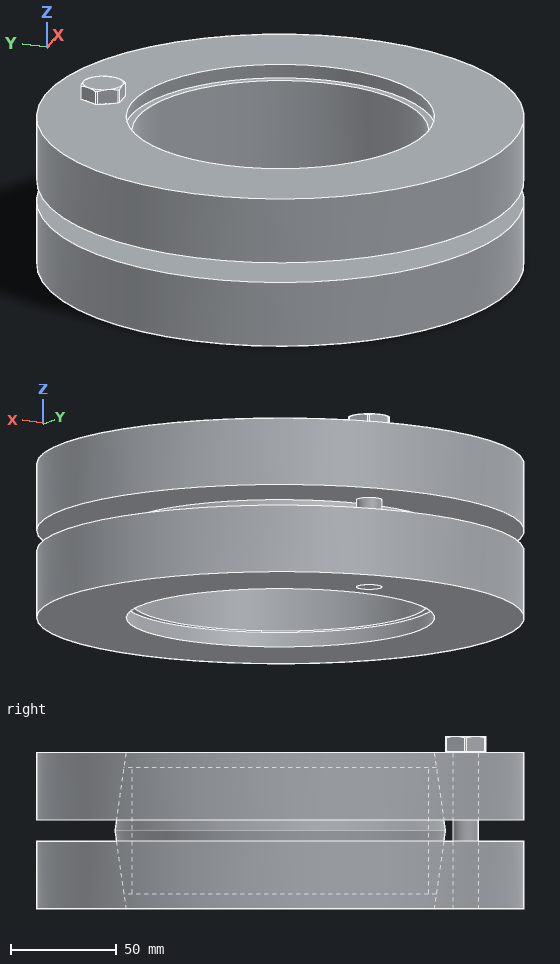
import cadquery as cq
import math

flange_diameter = 230.0
flange_thickness = 32.0
flange_gap = 10.0
stack_height = 2 * flange_thickness + flange_gap
mid_height = stack_height / 2

seat_mid_radius = 78.0
seat_outer_radius = 72.7
seat_slope = (seat_mid_radius - seat_outer_radius) / mid_height

ring_bore_diameter = 140.0
ring_end_recess = 7.1

bolt_offset_y = 87.5
shank_diameter = 12.0
head_across_flats = 19.0
head_height = 7.5
washer_face_diameter = 17.2
washer_face_height = 0.5
head_crown_height = 0.7
head_crown_angle = 30.0


def seat_radius(height):
    """Radius of the double cone at a height above the bottom of the stack."""
    return seat_mid_radius - seat_slope * abs(height - mid_height)


def revolve_profile(points):
    """Revolve a closed radius-height outline about the Z axis."""
    return cq.Workplane("XZ").polyline(points).close().revolve(360, (0, 0), (0, 1))


def make_shank():
    """Cylinder through both flanges: the bolt shank and the hole that it fills."""
    return cq.Workplane("XY").center(0, bolt_offset_y).circle(shank_diameter / 2).extrude(stack_height)


def make_flange(bottom):
    """Disc with a conical bore and a bolt hole, starting at the given height."""
    top = bottom + flange_thickness
    disc = revolve_profile([
        (seat_radius(bottom), bottom),
        (flange_diameter / 2, bottom),
        (flange_diameter / 2, top),
        (seat_radius(top), top),
    ])
    return disc.cut(make_shank())


def make_ring():
    """Ring with a straight bore and an outside that tapers towards both ends."""
    bore_radius = ring_bore_diameter / 2
    bottom = ring_end_recess
    top = stack_height - ring_end_recess
    return revolve_profile([
        (bore_radius, bottom),
        (seat_radius(bottom), bottom),
        (seat_mid_radius, mid_height),
        (seat_radius(top), top),
        (bore_radius, top),
    ])


def make_head_envelope():
    """Crowned cylinder with a washer face, trimming the hexagonal head at both ends."""
    crown_radius = head_across_flats / 2
    outer_radius = crown_radius + head_crown_height / math.tan(math.radians(head_crown_angle))
    face_radius = washer_face_diameter / 2
    face_top = stack_height + washer_face_height
    head_top = stack_height + head_height
    envelope = revolve_profile([
        (0, stack_height),
        (face_radius, stack_height),
        (face_radius, face_top),
        (outer_radius, face_top),
        (outer_radius, head_top - head_crown_height),
        (crown_radius, head_top),
        (0, head_top),
    ])
    return envelope.translate((0, bolt_offset_y, 0))


def make_bolt():
    """Hexagon-head bolt reaching down to the underside of the lower flange."""
    across_corners = head_across_flats / math.cos(math.radians(30))
    head = (
        cq.Workplane("XY", origin=(0, bolt_offset_y, stack_height))
        .polygon(6, across_corners)
        .extrude(head_height)
        .intersect(make_head_envelope())
    )
    return head.union(make_shank())


flange_bottoms = [0, flange_thickness + flange_gap]
flanges = [make_flange(bottom).val() for bottom in flange_bottoms]
ring = make_ring()
bolt = make_bolt()

result = cq.Compound.makeCompound([*flanges, ring.val(), bolt.val()])